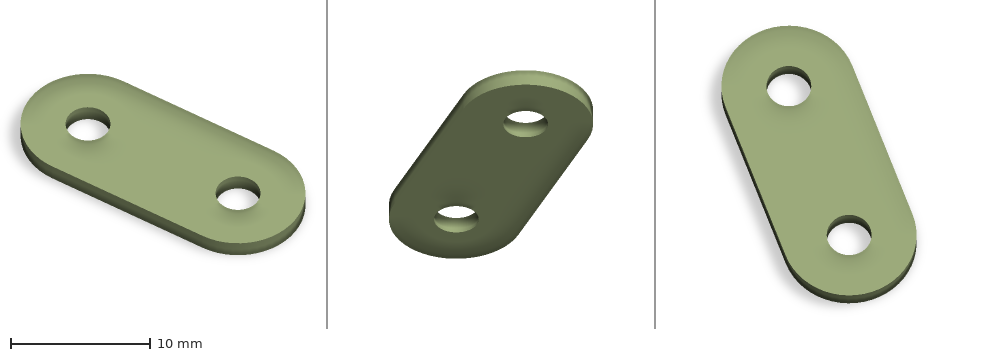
import cadquery as cq

length = 22.4
width = 9.7
thickness = 1.28
hole_diameter = 3.23

hole_spacing = length - width

plate = cq.Workplane("XY").slot2D(length, width).extrude(thickness / 2, both=True)

result = (
    plate.faces(">Z")
    .workplane()
    .pushPoints([(-hole_spacing / 2, 0), (hole_spacing / 2, 0)])
    .hole(hole_diameter)
)